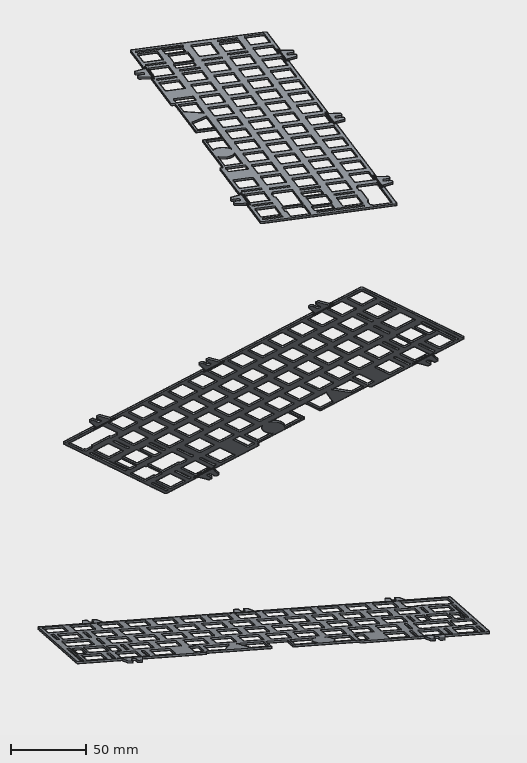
import cadquery as cq


plate_length = 285.8
columns = 15
rows = 5
pitch = plate_length / columns
plate_width = rows * pitch
thickness = 1.5
plate_corner_radius = 1.0

switch_size = 14.0
cutout_radius = 0.5
stabilizer_width = 6.5
stabilizer_height = switch_size
stabilizer_shift = 1.1
short_bar_reach = 0.625 * pitch
space_bar_reach = 3 * pitch

flex_width = 2.0
edge_flex_inset = 4.0

total_width = 111.0
tab_length = (total_width - plate_width) / 2
tab_base_width = 14.3
tab_tip_width = 9.7
tab_tip_radius = 1.0
fork_width = 3.1
fork_depth = 5.5
fork_floor_radius = 1.0
tab_slit_length = 19.7
tab_slit_width = 1.0
tab_slit_inset = 1.3

recess_half_length = 53.1
notch_half_length = 7.5
space_rim = 1.7
window_outer_x = 50.5
bridge_x = 30.3
triangle_top_width = 5.1
triangle_bottom_width = 17.7
disc_radius = 7.7

number_row = [0.5 + i for i in range(13)]
tab_row = [0.75] + [2 + i for i in range(12)] + [14.25]
caps_row = [0.625, 0.875] + [2.25 + i for i in range(11)] + [13.875]
shift_row = [1.125] + [2.75 + i for i in range(10)] + [13.125, 13.625, 14.5]
bottom_row = [0.75, 2, 3.25, 11.75, 13, 14.25]
key_rows = [number_row, tab_row, caps_row, shift_row, bottom_row]
backspace_unit = 14
backspace_key_spread = 1
enter_unit = 13.875
left_shift_unit = 1.125
right_shift_unit = 13.625


def key_x(units):
    return units * pitch - plate_length / 2


def row_y(row):
    return plate_width / 2 - (row + 0.5) * pitch


space_step_y = row_y(4) - switch_size / 2


def block(left, right, bottom, top):
    return (
        cq.Workplane("XY")
        .box(right - left, top - bottom, thickness, centered=False)
        .translate((left, bottom, 0))
    )


def cutout(x, y, length, height):
    opening = block(x - length / 2, x + length / 2, y - height / 2, y + height / 2)
    return opening.edges("|Z").fillet(cutout_radius)


def merged(parts):
    return cq.Workplane(parts[0].val().fuse(*[part.val() for part in parts[1:]]))


def plate_outline():
    """Rounded rectangle stepped in along the space bar, with rounded step corners."""
    bottom = -plate_width / 2
    recess = block(-recess_half_length, recess_half_length, bottom, space_step_y)
    return (
        cq.Workplane("XY")
        .box(plate_length, plate_width, thickness, centered=(True, True, False))
        .cut(recess)
        .edges("|Z")
        .fillet(plate_corner_radius)
    )


def switch_cutouts():
    return [
        cutout(key_x(units), row_y(row), switch_size, switch_size)
        for row, key_row in enumerate(key_rows)
        for units in key_row
    ]


def backspace_cutout():
    """One long opening for either a split or a full backspace key."""
    length = backspace_key_spread * pitch + switch_size
    return cutout(key_x(backspace_unit), row_y(0), length, switch_size)


def stabilizer_pair(x, y, reach):
    return [
        cutout(x + side * reach, y, stabilizer_width, stabilizer_height)
        for side in (-1, 1)
    ]


def stabilizer_cutouts():
    places = [(backspace_unit, 0), (enter_unit, 2), (left_shift_unit, 3), (right_shift_unit, 3)]
    cutouts = []
    for units, row in places:
        cutouts += stabilizer_pair(key_x(units), row_y(row) - stabilizer_shift, short_bar_reach)
    return cutouts + stabilizer_pair(0, row_y(4) + stabilizer_shift, space_bar_reach)


def flex_slot(x, first_row, last_row):
    height = (last_row - first_row) * pitch + switch_size
    return cutout(x, (row_y(first_row) + row_y(last_row)) / 2, flex_width, height)


def flex_slots():
    """Slots midway between neighbouring openings, plus slots along both short edges."""
    half_key = switch_size / 2
    stabilizer_edge = short_bar_reach + stabilizer_width / 2
    enter_left = key_x(enter_unit) - stabilizer_edge
    left_shift_right = key_x(left_shift_unit) + stabilizer_edge
    right_shift_left = key_x(right_shift_unit) - stabilizer_edge
    middles = [
        (1, key_x(1.375)),
        (1, key_x(13.625)),
        (2, key_x(1.57)),
        (2, (key_x(12.25) + half_key + enter_left) / 2),
        (3, (left_shift_right + key_x(2.75) - half_key) / 2),
        (3, (key_x(11.75) + half_key + right_shift_left) / 2),
        (4, key_x(1.375)),
        (4, key_x(2.625)),
        (4, key_x(12.375)),
        (4, key_x(13.625)),
    ]
    edge_x = plate_length / 2 - edge_flex_inset
    slots = [flex_slot(x, row, row) for row, x in middles]
    slots += [flex_slot(-edge_x, 1, 1), flex_slot(-edge_x, 3, 4)]
    slots += [flex_slot(edge_x, 1, 2), flex_slot(edge_x, 4, 4)]
    return slots


def space_bar_cutouts():
    """Open centre notch and the two windows with their bridges."""
    top = row_y(4) + switch_size / 2
    notch = block(-notch_half_length, notch_half_length, space_step_y, top)

    sill = space_step_y + space_rim
    inner_x = notch_half_length + space_rim
    triangle = (
        cq.Workplane("XY")
        .polyline([
            (-bridge_x - triangle_bottom_width / 2, sill),
            (-bridge_x + triangle_bottom_width / 2, sill),
            (-bridge_x + triangle_top_width / 2, top),
            (-bridge_x - triangle_top_width / 2, top),
        ])
        .close()
        .extrude(thickness)
    )
    disc = cq.Workplane("XY").center(bridge_x, row_y(4)).circle(disc_radius).extrude(thickness)
    left_window = block(-window_outer_x, -inner_x, sill, top).cut(triangle)
    right_window = block(inner_x, window_outer_x, sill, top).cut(disc)
    return [notch, left_window, right_window]


def mounting_tab(x, side):
    """Forked tapered tab on the top (side = 1) or bottom (side = -1) edge."""
    base = plate_width / 2
    tip = base + tab_length
    floor = tip - fork_depth
    tab = (
        cq.Workplane("XY")
        .polyline([
            (-tab_base_width / 2, base),
            (tab_base_width / 2, base),
            (tab_tip_width / 2, tip),
            (-tab_tip_width / 2, tip),
        ])
        .close()
        .extrude(thickness)
    )
    fork = block(-fork_width / 2, fork_width / 2, floor, tip).edges("|Z and <Y").fillet(fork_floor_radius)
    tab = tab.cut(fork).edges("|Z and >Y").fillet(tab_tip_radius)
    if side < 0:
        tab = tab.mirror("XZ")
    return tab.translate((x, 0, 0))


def tab_slit(x, side):
    y = side * (plate_width / 2 - tab_slit_inset)
    half = tab_slit_length / 2
    return block(x - half, x + half, y - tab_slit_width / 2, y + tab_slit_width / 2)


tab_places = [(2, 1), (7.5, 1), (13, 1), (2, -1), (13, -1)]

plate = plate_outline()
for units, side in tab_places:
    plate = plate.union(mounting_tab(key_x(units), side))

openings = switch_cutouts() + [backspace_cutout()] + stabilizer_cutouts()
openings += flex_slots() + space_bar_cutouts()
openings += [tab_slit(key_x(units), side) for units, side in tab_places]

result = plate.cut(merged(openings))